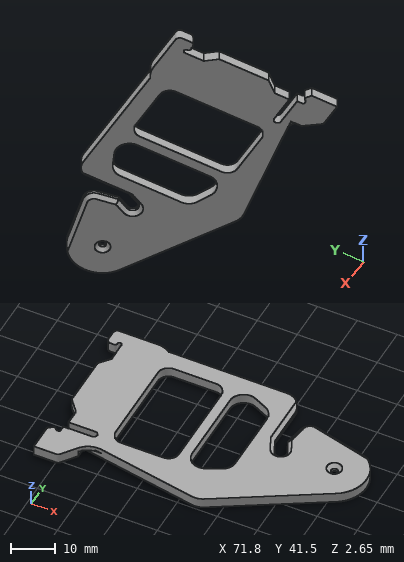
import cadquery as cq
import math

LENGTH = 71.8
WIDTH = 41.55
THICKNESS = 2.65

NOSE_RADIUS = 8.05
NOSE_X = LENGTH - NOSE_RADIUS
NOSE_Y = 23.75
NOSE_TOP_ANGLE = -14.0
NOSE_BOTTOM_ANGLE = 30.0
HOLE_DIAMETER = 1.7

BEVEL = 0.9
BEVEL_ANGLE = 45.0

SLOT_WALL_X = 47.5
SLOT_END_X = 50.3
SLOT_END_Y = 23.8
SLOT_RADIUS = 1.4
SLOT_LEAN = 25.0
LIP_Y = 27.5
LIP_ANGLE = 80.5
TIP_RADIUS = 2.5
SHOULDER_RADIUS = 4.0

BODY_TOP = 40.55
BACK_X = 3.5
PAD_X = 1.3
PAD_BOTTOM = 17.3
PAD_TOP = 30.15
PAD_SLOPE = 50.0
LOWER_BACK_X = 3.95

SLIT_END_X = 11.55
SLIT_BOTTOM = 8.6
SLIT_HEIGHT = 1.7

FOOT_X = 0.4
FOOT_SHOULDER_Y = 6.7
FOOT_CREST_X = 1.95
FOOT_CREST_Y = 7.7
FOOT_NOTCH_X = 2.65
FOOT_NOTCH_Y = 6.9
FOOT_SMALL_RADIUS = 0.35
HEEL_X = 6.5
HEEL_RADIUS = 1.0
HEEL_ANGLE = 52.5

LOWER_EDGE_ANGLE = -10.0
ROOT_X = 11.4
ROOT_RADIUS = 5.0
KEEL_RADIUS = 4.45
RELIEF_HEIGHT = 1.4

RAIL_END_RADIUS = 5.5
RAIL_FLAT_END_X = 10.8
RAIL_OVERLAP_Y = 35.9
RAIL_CORNER_RADIUS = 1.15
CLAW_X = 2.5
CLAW_BOTTOM = 37.1
CLAW_RADIUS = 0.6
CLAW_NOTCH_TOP = 38.2
CLAW_NOTCH_RADIUS = 0.4

MAIN_RADIUS = 2.6
MAIN_LEFT = 14.8
MAIN_RIGHT = 30.6
MAIN_BOTTOM = 9.75
MAIN_TOP = 36.1
SIDE_RADIUS = 3.4
SIDE_LEFT = 33.15
SIDE_RIGHT = 43.15
SIDE_MIDDLE_Y = 23.3
SIDE_HALF_LEFT = 14.7
SIDE_SLOPE = 25.0

CLEARANCE = 14.35


def step(point, angle, distance):
    """Point at a distance from another in the direction of an angle in degrees."""
    radians = math.radians(angle)
    return (point[0] + distance * math.cos(radians), point[1] + distance * math.sin(radians))


def crossing(point_a, angle_a, point_b, angle_b):
    """Crossing of two lines, each given by a point and an angle in degrees."""
    toward_b = math.radians(angle_b)
    gap = (point_b[0] - point_a[0], point_b[1] - point_a[1])
    sine = math.sin(toward_b - math.radians(angle_a))
    distance = (gap[0] * math.sin(toward_b) - gap[1] * math.cos(toward_b)) / sine
    return step(point_a, angle_a, distance)


def rounded_profile(corners, height, base=0.0, taper=0.0):
    """Extrude a closed polygon of (point, corner radius) pairs; radius 0 keeps a corner sharp."""
    stretches = []
    for index, (corner, radius) in enumerate(corners):
        before = corners[index - 1][0]
        after = corners[(index + 1) % len(corners)][0]
        to_before = math.atan2(before[1] - corner[1], before[0] - corner[0])
        to_after = math.atan2(after[1] - corner[1], after[0] - corner[0])
        half = math.remainder(to_after - to_before, math.tau) / 2
        if radius == 0:
            stretches.append((corner,))
            continue
        setback = radius / abs(math.tan(half))
        to_centre = radius / abs(math.sin(half))
        start = step(corner, math.degrees(to_before), setback)
        middle = step(corner, math.degrees(to_before + half), to_centre - radius)
        end = step(corner, math.degrees(to_after), setback)
        stretches.append((start, middle, end))

    tiny = 7.18e-07
    sketch = cq.Workplane("XY").workplane(offset=base).moveTo(*stretches[0][-1])
    position = stretches[0][-1]
    for stretch in stretches[1:] + stretches[:1]:
        if math.dist(position, stretch[0]) > tiny:
            sketch = sketch.lineTo(*stretch[0])
        if len(stretch) == 3:
            sketch = sketch.threePointArc(stretch[1], stretch[2])
        position = stretch[-1]
    return sketch.wire().extrude(height, taper=taper)


def mirrored_to_underside(tool):
    """Copy of a tool mirrored across the middle of the plate thickness."""
    return tool.mirror("XY", (0, 0, THICKNESS / 2))


nose = (NOSE_X, NOSE_Y)
nose_top = step(nose, NOSE_TOP_ANGLE + 90, NOSE_RADIUS)
nose_bottom = step(nose, NOSE_BOTTOM_ANGLE - 90, NOSE_RADIUS)
nose_point = crossing(nose_top, NOSE_TOP_ANGLE, nose_bottom, NOSE_BOTTOM_ANGLE)

slot_direction = 90 + SLOT_LEAN
slot_floor = step((SLOT_END_X, SLOT_END_Y), slot_direction, -SLOT_RADIUS)
floor_left = step(slot_floor, SLOT_LEAN, -SLOT_RADIUS)
floor_right = step(slot_floor, SLOT_LEAN, SLOT_RADIUS)
knee = crossing(floor_left, slot_direction, (SLOT_WALL_X, 0), 90)
lip = crossing(floor_right, slot_direction, (0, LIP_Y), 0)
tip = crossing(lip, LIP_ANGLE, nose_top, NOSE_TOP_ANGLE)
slot_corners = [
    (knee, 0),
    (floor_left, SLOT_RADIUS),
    (floor_right, SLOT_RADIUS),
    (lip, 0),
    (tip, TIP_RADIUS),
]

root = crossing((HEEL_X, 0), HEEL_ANGLE, (ROOT_X, 0), 90)
keel = crossing(root, LOWER_EDGE_ANGLE, nose_bottom, NOSE_BOTTOM_ANGLE)


def body():
    """Main plate with the padded back edge, spring slit, foot, nose and hook slot."""
    pad_upper_end = crossing((PAD_X, PAD_TOP), PAD_SLOPE, (BACK_X, 0), 90)
    pad_lower_end = crossing((PAD_X, PAD_BOTTOM), -PAD_SLOPE, (LOWER_BACK_X, 0), 90)
    slit_top = SLIT_BOTTOM + SLIT_HEIGHT
    slit_radius = SLIT_HEIGHT / 2
    corners = [
        ((BACK_X, BODY_TOP), 0),
        ((SLOT_WALL_X, BODY_TOP), SHOULDER_RADIUS),
        *slot_corners,
        (nose_point, NOSE_RADIUS),
        (keel, KEEL_RADIUS),
        (root, ROOT_RADIUS),
        ((HEEL_X, 0), HEEL_RADIUS),
        ((FOOT_X, 0), 0),
        ((FOOT_X, FOOT_SHOULDER_Y), 0),
        ((FOOT_CREST_X, FOOT_CREST_Y), FOOT_SMALL_RADIUS),
        ((FOOT_NOTCH_X, FOOT_NOTCH_Y), FOOT_SMALL_RADIUS),
        ((BACK_X, FOOT_NOTCH_Y), FOOT_SMALL_RADIUS),
        ((BACK_X, SLIT_BOTTOM), 0),
        ((SLIT_END_X, SLIT_BOTTOM), slit_radius),
        ((SLIT_END_X, slit_top), slit_radius),
        ((LOWER_BACK_X, slit_top), 0),
        (pad_lower_end, 0),
        ((PAD_X, PAD_BOTTOM), 0),
        ((PAD_X, PAD_TOP), 0),
        (pad_upper_end, 0),
    ]
    return rounded_profile(corners, THICKNESS)


def clip_rail():
    """Raised rail on the top edge, ending at the left in a downward claw."""
    rail_right = RAIL_FLAT_END_X + RAIL_END_RADIUS
    corners = [
        ((0, WIDTH), RAIL_CORNER_RADIUS),
        ((rail_right, WIDTH), RAIL_END_RADIUS),
        ((rail_right, RAIL_OVERLAP_Y), 0),
        ((BACK_X, RAIL_OVERLAP_Y), 0),
        ((BACK_X, CLAW_NOTCH_TOP), CLAW_NOTCH_RADIUS),
        ((CLAW_X, CLAW_NOTCH_TOP), CLAW_NOTCH_RADIUS),
        ((CLAW_X, CLAW_BOTTOM), CLAW_RADIUS),
        ((0, CLAW_BOTTOM), RAIL_CORNER_RADIUS),
    ]
    return rounded_profile(corners, THICKNESS)


def main_window():
    """Rectangular opening with rounded corners."""
    corners = [
        ((MAIN_LEFT, MAIN_BOTTOM), MAIN_RADIUS),
        ((MAIN_RIGHT, MAIN_BOTTOM), MAIN_RADIUS),
        ((MAIN_RIGHT, MAIN_TOP), MAIN_RADIUS),
        ((MAIN_LEFT, MAIN_TOP), MAIN_RADIUS),
    ]
    return rounded_profile(corners, THICKNESS)


def side_window():
    """Opening that narrows toward the slot, symmetric about its middle."""
    half_right = SIDE_HALF_LEFT - (SIDE_RIGHT - SIDE_LEFT) * math.tan(math.radians(SIDE_SLOPE))
    corners = [
        ((SIDE_LEFT, SIDE_MIDDLE_Y - SIDE_HALF_LEFT), SIDE_RADIUS),
        ((SIDE_RIGHT, SIDE_MIDDLE_Y - half_right), SIDE_RADIUS),
        ((SIDE_RIGHT, SIDE_MIDDLE_Y + half_right), SIDE_RADIUS),
        ((SIDE_LEFT, SIDE_MIDDLE_Y + SIDE_HALF_LEFT), SIDE_RADIUS),
    ]
    return rounded_profile(corners, THICKNESS)


def slot_bevel():
    """Pair of flared tools that bevel both slot edges and run straight out past both ends."""
    far_y = WIDTH + CLEARANCE
    beyond_nose = step(nose_top, NOSE_TOP_ANGLE, CLEARANCE)
    corners = [
        ((SLOT_WALL_X, far_y), 0),
        *slot_corners,
        (beyond_nose, 0),
        ((beyond_nose[0], far_y), 0),
    ]
    upper = rounded_profile(corners, BEVEL, THICKNESS - BEVEL, -BEVEL_ANGLE)
    return upper.union(mirrored_to_underside(upper))


def nose_hole():
    """Through hole countersunk from both faces."""
    radius = HOLE_DIAMETER / 2
    bore = cq.Workplane("XY").center(*nose).circle(radius).extrude(THICKNESS)
    upper_sink = (
        cq.Workplane("XY")
        .workplane(offset=THICKNESS - BEVEL)
        .center(*nose)
        .circle(radius)
        .extrude(BEVEL, taper=-BEVEL_ANGLE)
    )
    return bore.union(upper_sink).union(mirrored_to_underside(upper_sink))


def root_relief():
    """Underside cut that takes the root fillet back to the straight lower edge."""
    half_turn = math.radians(HEEL_ANGLE - LOWER_EDGE_ANGLE) / 2
    setback = ROOT_RADIUS * math.tan(half_turn)
    left_x = step(root, HEEL_ANGLE, -setback)[0]
    edge_left = crossing(root, LOWER_EDGE_ANGLE, (left_x, 0), 90)
    edge_right = step(root, LOWER_EDGE_ANGLE, setback)
    corners = [edge_left, edge_right, (edge_right[0], 0), (left_x, 0)]
    return cq.Workplane("XY").polyline(corners).close().extrude(RELIEF_HEIGHT)


result = body().union(clip_rail()).clean()
for opening in (main_window(), side_window(), slot_bevel(), nose_hole(), root_relief()):
    result = result.cut(opening)